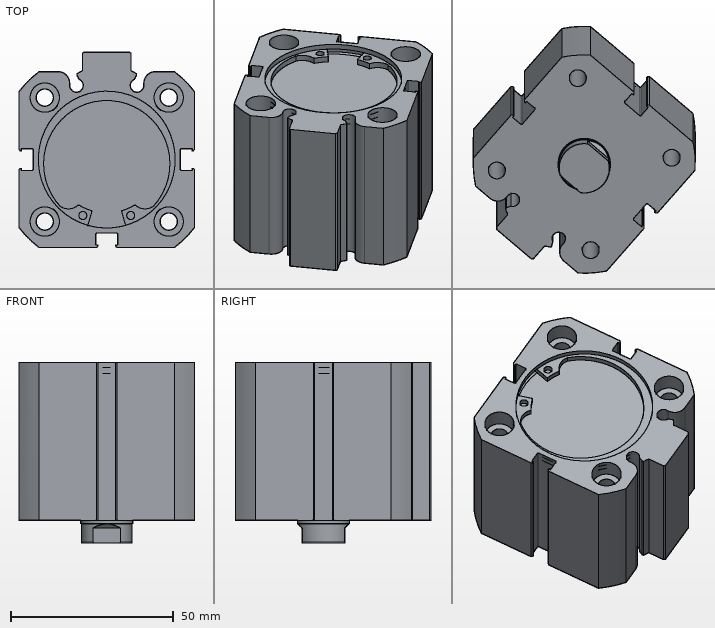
import cadquery as cq
import math


BODY_WIDTH = 54.0
BODY_HEIGHT = 48.5
CORNER_RADIUS = 34.1
HALF_BODY = BODY_WIDTH / 2

PORT_WIDTH = 15.0
PORT_TOP_Y = 33.0
PORT_EDGE_CHAMFER = 0.5
PORT_FLANK_Y = 27.3
PORT_LIP_X = 9.2
PORT_LIP_TOP_Y = 26.35
PORT_LIP_BOTTOM_Y = 25.9
RELIEF_X = 9.3
RELIEF_Y = 22.75
RELIEF_RADIUS = 2.05
RELIEF_NECK_X = 8.5
SHOULDER_RADIUS = 3.6

SLOT_OPENING = 5.4
SLOT_WIDTH = 6.6
SLOT_DEPTH = 4.45
SLOT_FLOOR_FILLET = 0.3
SLOT_LIP = 0.85
SLOT_LIP_CHAMFER = 0.4

BOLT_PITCH = 38.05
BOLT_HOLE_DIAMETER = 5.2
COUNTERBORE_DIAMETER = 9.0
COUNTERBORE_DEPTH = 6.1

BORE_RADIUS = 21.0
RING_RECESS = 1.6
RING_THICKNESS = 1.8
RING_OUTER_RADIUS = 22.3
RING_INNER_RADIUS = 19.4
RING_INNER_OFFSET = 1.25
COVER_THICKNESS = 6.0
RING_TOP_Z = BODY_HEIGHT - RING_RECESS
COVER_TOP_Z = RING_TOP_Z - RING_THICKNESS
COVER_BOTTOM_Z = COVER_TOP_Z - COVER_THICKNESS

LUG_INNER_RADIUS = 16.4
LUG_END_ANGLE = 16.0
LUG_BACK_ANGLE = 32.0
LUG_HOLE_ANGLE = 23.2
LUG_HOLE_PITCH_RADIUS = 18.65
LUG_HOLE_DIAMETER = 2.45
LUG_THROAT_X = 11.7
LUG_THROAT_Y = -15.1
LUG_HOLLOW_END_X = 14.35

ROD_DIAMETER = 16.1
ROD_TIP_DIAMETER = 15.6
ROD_PROJECTION = 7.0
ROD_STEP_Z = -0.9
ROD_STEP_CHAMFER = (ROD_DIAMETER - ROD_TIP_DIAMETER) / 2
ROD_END_TAPER_LENGTH = 0.5
ROD_END_TAPER_DEPTH = 0.1
ROD_ACROSS_FLATS = 13.1


def polar_from_minus_y(radius, angle):
    """Point at the given radius, turned by an angle in degrees from -Y towards +X."""
    turn = math.radians(angle)
    return (radius * math.sin(turn), -radius * math.cos(turn))


def mirrored(point):
    return (-point[0], point[1])


def make_port_block():
    """Block on the +Y side over a wider foot, from which the lips are cut."""
    block = (
        cq.Workplane("XY")
        .center(0, PORT_TOP_Y / 2)
        .rect(PORT_WIDTH, PORT_TOP_Y)
        .extrude(BODY_HEIGHT)
        .edges("|Z and >Y")
        .chamfer(PORT_EDGE_CHAMFER)
    )
    foot = (
        cq.Workplane("XY")
        .center(0, PORT_FLANK_Y / 2)
        .rect(2 * PORT_LIP_X, PORT_FLANK_Y)
        .extrude(BODY_HEIGHT)
    )
    return block.union(foot)


def make_port_relief():
    """Cutter beside the +X flank of the port block, leaving the lip and the rounded shoulder."""
    outer_x = RELIEF_X + RELIEF_RADIUS
    neck_y = RELIEF_Y + math.sqrt(RELIEF_RADIUS**2 - (RELIEF_NECK_X - RELIEF_X) ** 2)
    shoulder_y = HALF_BODY - SHOULDER_RADIUS
    shoulder_mid = SHOULDER_RADIUS * (1 - math.sqrt(0.5))
    return (
        cq.Workplane("XY")
        .moveTo(outer_x + SHOULDER_RADIUS, PORT_FLANK_Y)
        .lineTo(PORT_WIDTH / 2, PORT_FLANK_Y)
        .lineTo(PORT_LIP_X, PORT_LIP_TOP_Y)
        .lineTo(PORT_LIP_X, PORT_LIP_BOTTOM_Y)
        .lineTo(RELIEF_NECK_X, neck_y)
        .threePointArc((RELIEF_X, RELIEF_Y - RELIEF_RADIUS), (outer_x, RELIEF_Y))
        .lineTo(outer_x, shoulder_y)
        .threePointArc(
            (outer_x + shoulder_mid, HALF_BODY - shoulder_mid),
            (outer_x + SHOULDER_RADIUS, HALF_BODY),
        )
        .close()
        .extrude(BODY_HEIGHT)
    )


def make_sensor_slot():
    """Cutter for the slot in the -Y side, wider behind its chamfered lips."""
    half_opening = SLOT_OPENING / 2
    half_mouth = half_opening + SLOT_LIP_CHAMFER
    half_width = SLOT_WIDTH / 2
    lip_y = -HALF_BODY + SLOT_LIP
    floor_y = -HALF_BODY + SLOT_DEPTH
    right_side = [
        (half_mouth, -HALF_BODY),
        (half_opening, -HALF_BODY + SLOT_LIP_CHAMFER),
        (half_opening, lip_y),
        (half_width, lip_y),
        (half_width, floor_y),
    ]
    left_side = [mirrored(point) for point in reversed(right_side)]
    return (
        cq.Workplane("XY")
        .polyline(right_side + left_side)
        .close()
        .extrude(BODY_HEIGHT)
        .edges("|Z and >Y")
        .fillet(SLOT_FLOOR_FILLET)
    )


def make_housing():
    housing = (
        cq.Workplane("XY")
        .rect(BODY_WIDTH, BODY_WIDTH)
        .extrude(BODY_HEIGHT)
        .intersect(cq.Workplane("XY").circle(CORNER_RADIUS).extrude(BODY_HEIGHT))
        .union(make_port_block())
    )

    port_relief = make_port_relief()
    housing = housing.cut(port_relief).cut(port_relief.mirror("YZ"))

    sensor_slot = make_sensor_slot()
    for angle in (-90, 0, 90):
        housing = housing.cut(sensor_slot.rotate((0, 0, 0), (0, 0, 1), angle))

    housing = (
        housing.faces(">Z")
        .workplane(origin=(0, 0, BODY_HEIGHT))
        .rect(BOLT_PITCH, BOLT_PITCH, forConstruction=True)
        .vertices()
        .cboreHole(BOLT_HOLE_DIAMETER, COUNTERBORE_DIAMETER, COUNTERBORE_DEPTH)
    )

    bore = (
        cq.Workplane("XY", origin=(0, 0, COVER_BOTTOM_Z))
        .circle(BORE_RADIUS)
        .extrude(BODY_HEIGHT - COVER_BOTTOM_Z)
    )
    ring_groove = (
        cq.Workplane("XY", origin=(0, 0, COVER_TOP_Z))
        .circle(RING_OUTER_RADIUS)
        .extrude(RING_THICKNESS)
    )
    rod_hole = cq.Workplane("XY").circle(ROD_DIAMETER / 2).extrude(COVER_BOTTOM_Z)
    return housing.cut(bore).cut(ring_groove).cut(rod_hole)


def make_cover():
    return (
        cq.Workplane("XY", origin=(0, 0, COVER_BOTTOM_Z))
        .circle(BORE_RADIUS)
        .extrude(COVER_THICKNESS)
    )


def make_retaining_ring():
    outer_end = polar_from_minus_y(RING_OUTER_RADIUS, LUG_END_ANGLE)
    lug_tip = polar_from_minus_y(LUG_INNER_RADIUS, LUG_END_ANGLE)
    lug_middle = polar_from_minus_y(LUG_INNER_RADIUS, (LUG_END_ANGLE + LUG_BACK_ANGLE) / 2)
    lug_back = polar_from_minus_y(LUG_INNER_RADIUS, LUG_BACK_ANGLE)
    throat = (LUG_THROAT_X, LUG_THROAT_Y)
    hollow_end_y = -RING_INNER_OFFSET - math.sqrt(RING_INNER_RADIUS**2 - LUG_HOLLOW_END_X**2)
    hollow_end = (LUG_HOLLOW_END_X, hollow_end_y)
    inner_top = (0, RING_INNER_RADIUS - RING_INNER_OFFSET)
    lug_hole = polar_from_minus_y(LUG_HOLE_PITCH_RADIUS, LUG_HOLE_ANGLE)

    ring = (
        cq.Workplane("XY", origin=(0, 0, COVER_TOP_Z))
        .moveTo(*outer_end)
        .lineTo(*lug_tip)
        .threePointArc(lug_middle, lug_back)
        .threePointArc(throat, hollow_end)
        .threePointArc(inner_top, mirrored(hollow_end))
        .threePointArc(mirrored(throat), mirrored(lug_back))
        .threePointArc(mirrored(lug_middle), mirrored(lug_tip))
        .lineTo(*mirrored(outer_end))
        .threePointArc((0, RING_OUTER_RADIUS), outer_end)
        .close()
        .extrude(RING_THICKNESS)
    )
    lug_holes = (
        cq.Workplane("XY", origin=(0, 0, COVER_TOP_Z))
        .pushPoints([lug_hole, mirrored(lug_hole)])
        .circle(LUG_HOLE_DIAMETER / 2)
        .extrude(RING_THICKNESS)
    )
    return ring.cut(lug_holes)


def make_flat_cutter():
    """Cutter for the wrench flat on the -Y side, with a 45 degree run-out below the step."""
    flat_y = -ROD_ACROSS_FLATS / 2
    outer_y = -ROD_DIAMETER / 2
    runout = flat_y - outer_y
    return (
        cq.Workplane("YZ")
        .polyline(
            [
                (flat_y, -ROD_PROJECTION),
                (flat_y, ROD_STEP_Z - runout),
                (outer_y, ROD_STEP_Z),
                (outer_y, -ROD_PROJECTION),
            ]
        )
        .close()
        .extrude(ROD_DIAMETER / 2, both=True)
    )


def make_rod():
    radius = ROD_DIAMETER / 2
    tip_radius = ROD_TIP_DIAMETER / 2
    rod = (
        cq.Workplane("XZ")
        .polyline(
            [
                (0, -ROD_PROJECTION),
                (tip_radius - ROD_END_TAPER_DEPTH, -ROD_PROJECTION),
                (tip_radius, -ROD_PROJECTION + ROD_END_TAPER_LENGTH),
                (tip_radius, ROD_STEP_Z - ROD_STEP_CHAMFER),
                (radius, ROD_STEP_Z),
                (radius, COVER_BOTTOM_Z),
                (0, COVER_BOTTOM_Z),
            ]
        )
        .close()
        .revolve(360, (0, 0, 0), (0, 1, 0))
    )
    flat_cutter = make_flat_cutter()
    return rod.cut(flat_cutter).cut(flat_cutter.mirror("XZ"))


housing = make_housing()
cover = make_cover()
retaining_ring = make_retaining_ring()
rod = make_rod()

result = cq.Compound.makeCompound([housing.val(), cover.val(), retaining_ring.val(), rod.val()])